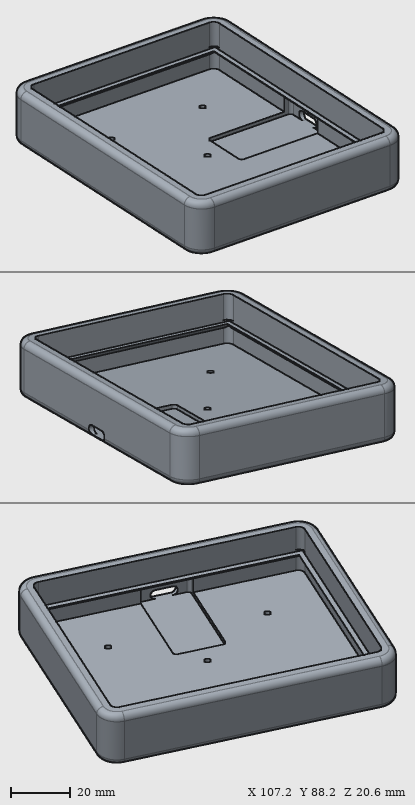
import cadquery as cq

length = 107.2
width = 88.2
height = 20.6
corner_radius = 7.3
edge_fillet = 2.5

wall = 4.9
floor_thickness = 2.7
cavity_length = length - 2 * wall
cavity_width = width - 2 * wall
cavity_radius = corner_radius - wall

lip_reach = 2.0
lip_top = 10.4
lip_bottom = lip_top - lip_reach
relief_height = 0.8

hole_diameter = 2.3
hole_spacing_x = 57.3
hole_spacing_y = 38.2

recess_width = 18.9
recess_front_y = 7.0
recess_wall_depth = 2.9
recess_floor_depth = 1.5
recess_radius = 1.3
recess_back_y = cavity_width / 2 + recess_wall_depth
recess_floor_z = floor_thickness - recess_floor_depth

port_width = 9.9
port_height = 3.5
port_center_z = recess_floor_z + port_height / 2


def rounded_block(size_x, size_y, bottom, top, radius):
    """Block centered on the Z axis with rounded vertical edges."""
    block = cq.Workplane("XY").workplane(offset=bottom).rect(size_x, size_y).extrude(top - bottom)
    return block.edges("|Z").fillet(radius)


def make_body():
    body = rounded_block(length, width, 0, height, corner_radius)
    return body.faces("<Z or >Z").edges().fillet(edge_fillet)


def make_cavity():
    return rounded_block(cavity_length, cavity_width, floor_thickness, height, cavity_radius)


def make_corner_relief():
    """Square-cornered clearance just above the lip."""
    relief = cq.Workplane("XY").workplane(offset=lip_top).rect(cavity_length, cavity_width)
    return relief.extrude(relief_height)


def make_lip():
    """Ledge with a flat top, a sharp inner edge and a 45 degree underside."""
    ring = (
        cq.Workplane("XY")
        .workplane(offset=lip_bottom)
        .rect(cavity_length, cavity_width)
        .extrude(lip_reach)
    )
    opening = (
        cq.Workplane("XY")
        .workplane(offset=lip_bottom)
        .rect(cavity_length, cavity_width)
        .workplane(offset=lip_reach)
        .rect(cavity_length - 2 * lip_reach, cavity_width - 2 * lip_reach)
        .loft()
    )
    return ring.cut(opening)


def make_recess():
    depth_y = recess_back_y - recess_front_y
    recess = rounded_block(recess_width, depth_y, recess_floor_z, lip_bottom, recess_radius)
    return recess.translate((0, (recess_front_y + recess_back_y) / 2, 0))


def make_port():
    port_depth = width / 2 - recess_back_y
    return (
        cq.Workplane("XZ", origin=(0, width / 2, port_center_z))
        .slot2D(port_width, port_height)
        .extrude(port_depth)
    )


def make_screw_holes():
    corners = cq.Workplane("XY").rect(hole_spacing_x, hole_spacing_y, forConstruction=True).vertices()
    corner_holes = corners.circle(hole_diameter / 2).extrude(floor_thickness)
    center_hole = cq.Workplane("XY").circle(hole_diameter / 2).extrude(floor_thickness)
    return corner_holes.union(center_hole)


result = make_body().cut(make_cavity()).cut(make_corner_relief()).union(make_lip())
result = result.cut(make_recess()).cut(make_port()).cut(make_screw_holes())